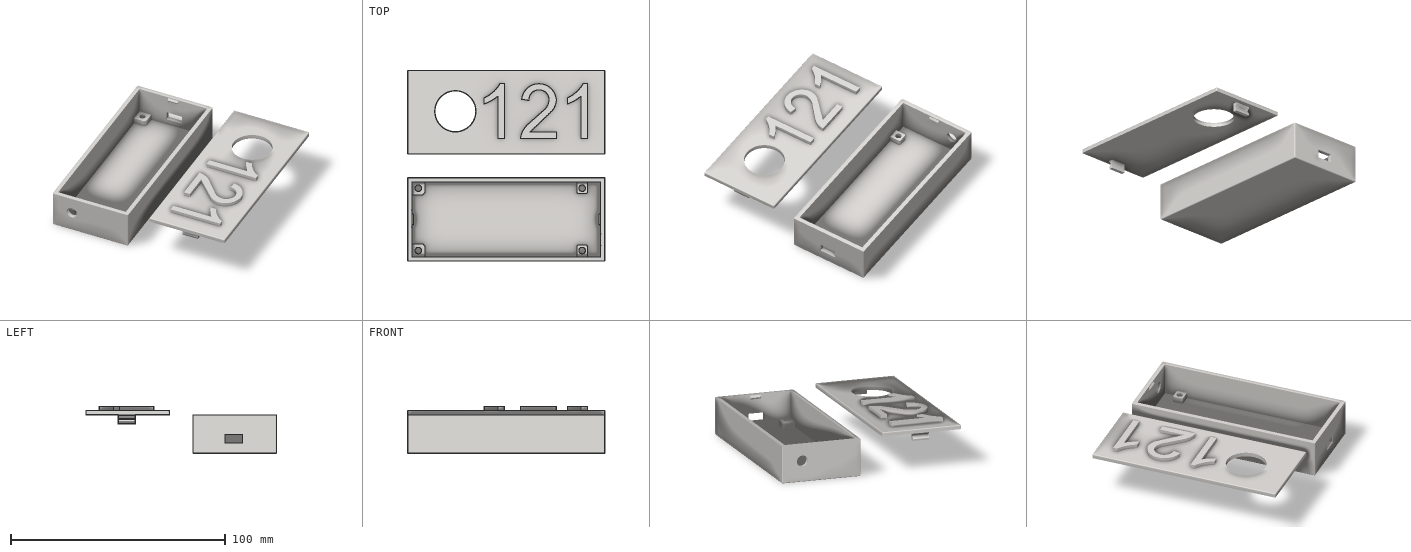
import cadquery as cq

length = 92.0
width = 39.0
wall = 2.0
edge_fillet = 0.5
body_gap = 10.95
mid_y = width / 2
opening_y = 20.0

housing_height = 18.0
hole_diameter = 3.0
hole_y_inset = 5.0
boss_top = 5.0
corner_boss_hole_x = 5.0
corner_boss_half = 3.1
corner_boss_chamfer = 1.1
wall_boss_hole_x = 81.4
wall_boss_half = 2.5
wall_boss_chamfer = 0.5
slot_width = 8.0
slot_height = 4.0
slot_bottom = 5.0
jack_diameter = 5.3
jack_y = 10.0
jack_z = 10.0

groove_drop = 1.9
groove_depth = 1.0
groove_mouth_height = 2.9
groove_floor_height = 0.4
bump_drop = 1.4
bump_depth = 0.7
bump_base_height = 1.8
bump_ridge_height = 0.2
bump_base_width = 5.5
bump_ridge_width = 4.6

lid_thickness = 2.0
lid_hole_diameter = 19.0
lid_hole_x = 22.3
clip_width = 8.0
clip_drop = 4.2
clip_thickness = 2.0
clip_clearance = 0.5
clip_lead_in_height = 0.7
clip_lead_in_depth = 0.2

numeral_height = 1.9
numeral_bottom = 7.3
numeral_top = 32.8
stroke = 3.0

one_right_edges = (45.1, 83.9)
one_tip_width = 2.0
flag_reach = 9.4
flag_end_top = 26.2
flag_end_bottom = 23.4
flag_root = 27.0
flag_upper_bend = (5.1, 29.1)
flag_lower_bend = (6.0, 24.9)

two_left = 52.6
two_right = 69.4
two_shoulder_y = 25.6
two_inner_corner_x = 57.1
hook_x = 61.3
hook_inner_top = 30.0
hook_end_outer = (53.2, two_shoulder_y)
hook_end_inner = (56.6, 25.0)
shoulder_inner_x = 66.0
shoulder_inner_bend = (65.1, 22.45)
shoulder_outer_bend = (68.9, 22.8)
diagonal_lower_end = (67.5, 20.3)
diagonal_upper_end = (62.9, 20.0)
diagonal_upper_start = (56.4, 14.2)
foot_bend = (53.7, 10.9)

lid_y = width + body_gap
lid_z = housing_height
lid_top = lid_z + lid_thickness


def plate(height):
    """Rectangular block with the shared plan size, one corner at the origin."""
    return cq.Workplane("XY").box(length, width, height, centered=False)


def boss(hole_x, hole_y, half, chamfer, far_x, far_y):
    """Screw boss around a hole, reaching to far_x on its left and into the wall at far_y."""
    at_front = far_y < hole_y
    near_x = hole_x + half
    near_y = hole_y + half if at_front else hole_y - half
    block = (
        cq.Workplane("XY", origin=((near_x + far_x) / 2, (near_y + far_y) / 2, wall))
        .rect(near_x - far_x, abs(near_y - far_y))
        .extrude(boss_top - wall)
    )
    free_corners = "|Z and >X" if far_x < wall else "|Z"
    inner_side = ">Y" if at_front else "<Y"
    return block.faces(inner_side).edges(free_corners).chamfer(chamfer)


def make_bump(wall_x, direction):
    """Snap bump on an end wall: a frustum that narrows towards the cavity."""
    base_plane = cq.Plane(
        origin=(wall_x, mid_y, housing_height - bump_drop),
        xDir=(0, 1, 0),
        normal=(direction, 0, 0),
    )
    return (
        cq.Workplane(base_plane)
        .rect(bump_base_width, bump_base_height)
        .workplane(offset=bump_depth)
        .rect(bump_ridge_width, bump_ridge_height)
        .loft(combine=True)
    )


def make_housing():
    """Open-topped box with four screw bosses, two snap bumps and two wall openings."""
    housing = plate(housing_height)
    housing = housing.edges("|Z").fillet(edge_fillet)
    housing = housing.faces("<Z").edges().fillet(edge_fillet)
    cavity = (
        cq.Workplane("XY", origin=(wall, wall, wall))
        .box(length - 2 * wall, width - 2 * wall, housing_height, centered=False)
    )
    housing = housing.cut(cavity)

    near_wall = wall / 2
    rows = ((hole_y_inset, near_wall), (width - hole_y_inset, width - near_wall))
    for hole_y, far_y in rows:
        housing = housing.union(
            boss(corner_boss_hole_x, hole_y, corner_boss_half, corner_boss_chamfer, near_wall, far_y)
        )
        housing = housing.union(
            boss(wall_boss_hole_x, hole_y, wall_boss_half, wall_boss_chamfer,
                 wall_boss_hole_x - wall_boss_half, far_y)
        )
    hole_points = [(x, y) for x in (corner_boss_hole_x, wall_boss_hole_x) for y, _ in rows]
    screw_holes = (
        cq.Workplane("XY", origin=(0, 0, wall))
        .pushPoints(hole_points)
        .circle(hole_diameter / 2)
        .extrude(boss_top - wall)
    )
    housing = housing.cut(screw_holes)

    housing = housing.union(make_bump(wall, 1)).union(make_bump(length - wall, -1))

    slot = (
        cq.Workplane("XY", origin=(0, opening_y - slot_width / 2, slot_bottom))
        .box(wall, slot_width, slot_height, centered=False)
    )
    jack_hole = (
        cq.Workplane("YZ", origin=(length - wall, jack_y, jack_z))
        .circle(jack_diameter / 2)
        .extrude(wall)
    )
    return housing.cut(slot).cut(jack_hole)


def make_clip():
    """Snap clip under the left end of the lid, with a groove and a lead-in on its outer face."""
    outer = wall + clip_clearance
    inner = outer + clip_thickness
    groove_z = lid_z - groove_drop
    bottom = lid_z - clip_drop
    return (
        cq.Workplane("XZ", origin=(0, lid_y + opening_y + clip_width / 2, 0))
        .moveTo(outer, lid_z)
        .lineTo(outer, groove_z + groove_mouth_height / 2)
        .lineTo(outer + groove_depth, groove_z + groove_floor_height / 2)
        .lineTo(outer + groove_depth, groove_z - groove_floor_height / 2)
        .lineTo(outer, groove_z - groove_mouth_height / 2)
        .lineTo(outer, bottom + clip_lead_in_height)
        .lineTo(outer + clip_lead_in_depth, bottom)
        .lineTo(inner, bottom)
        .lineTo(inner, lid_z)
        .close()
        .extrude(clip_width)
    )


def numeral_plane():
    """Workplane on top of the lid with its origin at the lid's front left corner."""
    return cq.Workplane("XY", origin=(0, lid_y, lid_top))


def make_one(right):
    """Numeral 1: a stem with a curved flag at its upper left."""
    stem_left = right - stroke
    flag_left = right - flag_reach
    return (
        numeral_plane()
        .moveTo(right, numeral_bottom)
        .lineTo(right, numeral_top)
        .lineTo(right - one_tip_width, numeral_top)
        .threePointArc((right - flag_upper_bend[0], flag_upper_bend[1]), (flag_left, flag_end_top))
        .lineTo(flag_left, flag_end_bottom)
        .threePointArc((right - flag_lower_bend[0], flag_lower_bend[1]), (stem_left, flag_root))
        .lineTo(stem_left, numeral_bottom)
        .close()
        .extrude(numeral_height)
    )


def make_two():
    """Numeral 2: a hooked top, a diagonal and a straight foot."""
    foot_top = numeral_bottom + stroke
    return (
        numeral_plane()
        .moveTo(two_left, numeral_bottom)
        .lineTo(two_right, numeral_bottom)
        .lineTo(two_right, foot_top)
        .lineTo(two_inner_corner_x, foot_top)
        .lineTo(*diagonal_lower_end)
        .threePointArc(shoulder_outer_bend, (two_right, two_shoulder_y))
        .threePointArc((hook_x, numeral_top), hook_end_outer)
        .lineTo(*hook_end_inner)
        .threePointArc((hook_x, hook_inner_top), (shoulder_inner_x, two_shoulder_y))
        .threePointArc(shoulder_inner_bend, diagonal_upper_end)
        .lineTo(*diagonal_upper_start)
        .threePointArc(foot_bend, (two_left, numeral_bottom))
        .close()
        .extrude(numeral_height)
    )


def make_lid():
    """Flat cover with a round hole, two snap clips underneath and raised numerals."""
    lid = plate(lid_thickness)
    lid = lid.edges("|Z").fillet(edge_fillet)
    lid = lid.faces(">Z").edges().fillet(edge_fillet)
    lid = lid.translate((0, lid_y, lid_z))
    hole = (
        cq.Workplane("XY", origin=(lid_hole_x, lid_y + opening_y, lid_z))
        .circle(lid_hole_diameter / 2)
        .extrude(lid_thickness)
    )
    lid = lid.cut(hole)

    left_clip = make_clip()
    right_clip = left_clip.mirror("YZ", (length / 2, 0, 0))
    lid = lid.union(left_clip).union(right_clip)

    for right in one_right_edges:
        lid = lid.union(make_one(right))
    return lid.union(make_two())


housing = make_housing()
lid = make_lid()

result = cq.Compound.makeCompound([housing.val(), lid.val()])